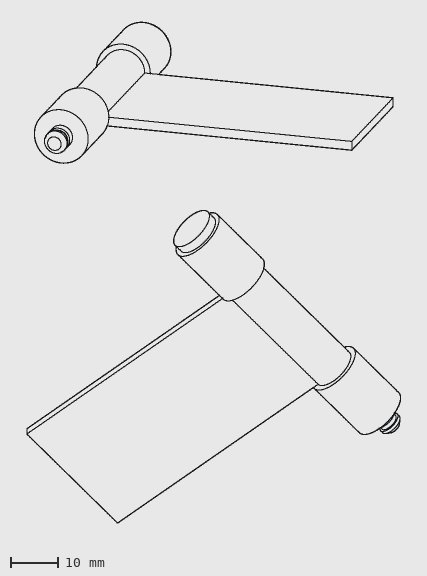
import cadquery as cq


overall_length = 67.0
overall_width = 66.0

knuckle_diameter = 12.0
knuckle_length = 15.0
sleeve_diameter = 9.5
leaf_thickness = 2.0
leaf_length = 2 * knuckle_length
leaf_end_x = overall_width - knuckle_diameter / 2

pin_diameter = 5.0
head_diameter = 10.0
head_thickness = 2.0
tip_chamfer = 1.0
groove_depth = 0.5
groove_width = 1.2
groove_offset = 2.0

leaf_front_y = -leaf_length / 2
leaf_back_y = leaf_length / 2
front_face_y = leaf_front_y - knuckle_length
back_face_y = leaf_back_y + knuckle_length
head_end_y = back_face_y + head_thickness
tip_y = head_end_y - overall_length


def cylinder_along_y(diameter, start_y, end_y):
    """Solid cylinder on the hinge axis between two Y stations."""
    return (
        cq.Workplane("XZ", origin=(0, start_y, 0))
        .circle(diameter / 2)
        .extrude(start_y - end_y)
    )


def make_knuckle(start_y):
    """Plain barrel bored for the pin."""
    end_y = start_y + knuckle_length
    barrel = cylinder_along_y(knuckle_diameter, start_y, end_y)
    return barrel.cut(cylinder_along_y(pin_diameter, start_y, end_y))


def make_leaf():
    """Flat plate joined to a bored sleeve, its top face level with the hinge axis."""
    sleeve = cylinder_along_y(sleeve_diameter, leaf_front_y, leaf_back_y)
    plate = cq.Workplane("XY").box(
        leaf_end_x, leaf_length, leaf_thickness, centered=(False, True, False)
    ).translate((0, 0, -leaf_thickness))
    bore = cylinder_along_y(pin_diameter, leaf_front_y, leaf_back_y)
    return sleeve.union(plate).cut(bore)


def make_pin():
    """Pin with a flat head, a retaining groove and a chamfered tip."""
    shank = cylinder_along_y(pin_diameter, tip_y, back_face_y).faces("<Y").chamfer(tip_chamfer)
    head = cylinder_along_y(head_diameter, back_face_y, head_end_y)

    groove_back_y = front_face_y - groove_offset
    groove_front_y = groove_back_y - groove_width
    groove_core_diameter = pin_diameter - 2 * groove_depth
    groove = cylinder_along_y(pin_diameter, groove_front_y, groove_back_y).cut(
        cylinder_along_y(groove_core_diameter, groove_front_y, groove_back_y)
    )
    return shank.cut(groove).union(head)


knuckles = [make_knuckle(start_y) for start_y in (front_face_y, leaf_back_y)]
leaf = make_leaf()
pin = make_pin()

result = cq.Compound.makeCompound([*(knuckle.val() for knuckle in knuckles), leaf.val(), pin.val()])